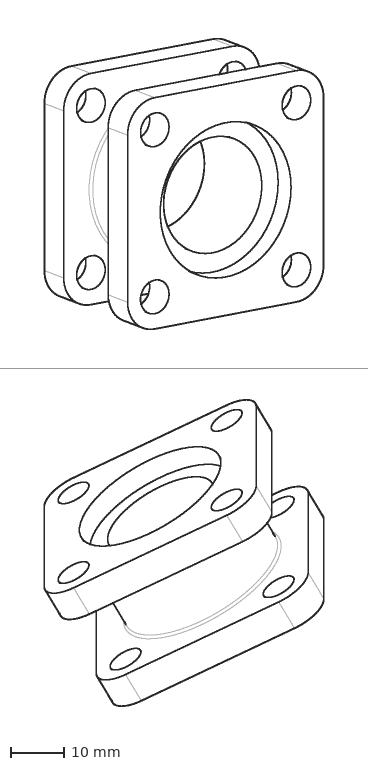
import cadquery as cq

length = 27.0
flange_side = 45.0
flange_thickness = 6.3

bolt_spacing = 32.5
bolt_diameter = 6.52
corner_radius = (flange_side - bolt_spacing) / 2

tube_diameter = 32.5
bore_diameter = 22.5
recess_diameter = 30.0
recess_depth = 4.2
neck_fillet = 0.5


def cylinder_x(diameter, x_start, depth):
    """Cylinder along the X axis, starting at x_start."""
    return cq.Workplane("YZ", origin=(x_start, 0, 0)).circle(diameter / 2).extrude(depth)


def flange(x_start):
    """Square flange with rounded corners and four bolt holes."""
    plate = (
        cq.Workplane("YZ", origin=(x_start, 0, 0))
        .rect(flange_side, flange_side)
        .extrude(flange_thickness)
        .edges("|X")
        .fillet(corner_radius)
    )
    bolt_holes = (
        cq.Workplane("YZ", origin=(x_start, 0, 0))
        .rect(bolt_spacing, bolt_spacing, forConstruction=True)
        .vertices()
        .circle(bolt_diameter / 2)
        .extrude(flange_thickness)
    )
    return plate.cut(bolt_holes)


def neck():
    """Tube between the flanges, flaring by a small fillet at each one."""
    half_gap = length / 2 - flange_thickness
    tube_radius = tube_diameter / 2
    flare_radius = tube_radius + neck_fillet
    fillet_start = half_gap - neck_fillet
    fillet_mid = neck_fillet * (1 - 0.5**0.5)
    return (
        cq.Workplane("XY")
        .moveTo(-half_gap, 0)
        .lineTo(-half_gap, flare_radius)
        .threePointArc((-half_gap + fillet_mid, tube_radius + fillet_mid), (-fillet_start, tube_radius))
        .lineTo(fillet_start, tube_radius)
        .threePointArc((half_gap - fillet_mid, tube_radius + fillet_mid), (half_gap, flare_radius))
        .lineTo(half_gap, 0)
        .close()
        .revolve(360, (0, 0, 0), (1, 0, 0))
    )


body = neck()
for flange_start in (-length / 2, length / 2 - flange_thickness):
    body = body.union(flange(flange_start))

body = body.cut(cylinder_x(bore_diameter, -length / 2, length))
for recess_start in (-length / 2, length / 2 - recess_depth):
    body = body.cut(cylinder_x(recess_diameter, recess_start, recess_depth))

result = body